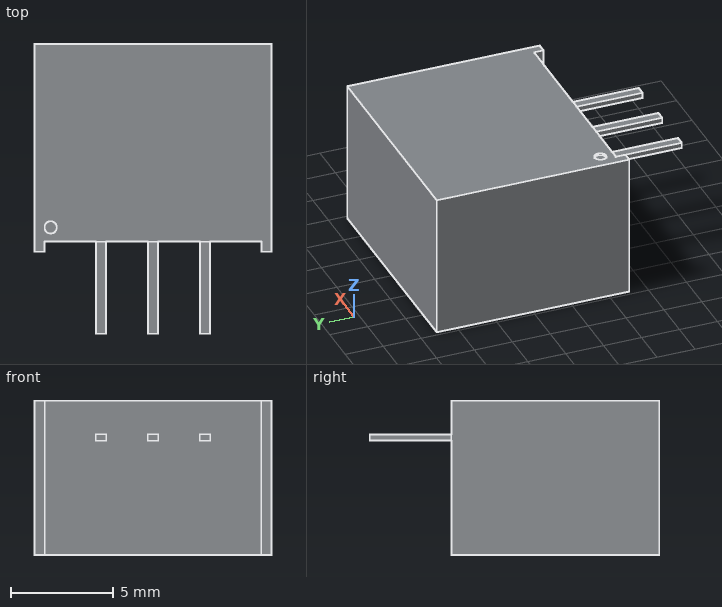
import cadquery as cq

case_width = 11.6
case_height = 7.55
case_length = 10.16
foot_width = 0.5
foot_length = 0.5

pin_count = 3
pin_pitch = 2.54
pin_width = 0.5
pin_thickness = 0.3
pin_reach = 4.0
pin_drop = 1.8

mark_diameter = 0.6
mark_depth = 0.1
mark_from_side = 0.8
mark_from_foot_tip = 1.2

pin_z = case_height - pin_drop


def make_case():
    block = cq.Workplane("XY").box(case_width, case_length, case_height, centered=(True, False, False))
    recess = cq.Workplane("XY").box(
        case_width - 2 * foot_width, foot_length, case_height, centered=(True, False, False)
    )
    return block.cut(recess)


def make_pin(x):
    length = pin_reach + foot_length
    pin = cq.Workplane("XY").box(pin_width, length, pin_thickness, centered=(True, False, True))
    return pin.translate((x, -pin_reach, pin_z))


def make_mark():
    dimple = cq.Workplane("XY").circle(mark_diameter / 2).extrude(mark_depth)
    mark_x = -case_width / 2 + mark_from_side
    return dimple.translate((mark_x, mark_from_foot_tip, case_height - mark_depth))


result = make_case().cut(make_mark())
for index in range(pin_count):
    pin_x = (index - (pin_count - 1) / 2) * pin_pitch
    result = result.union(make_pin(pin_x))